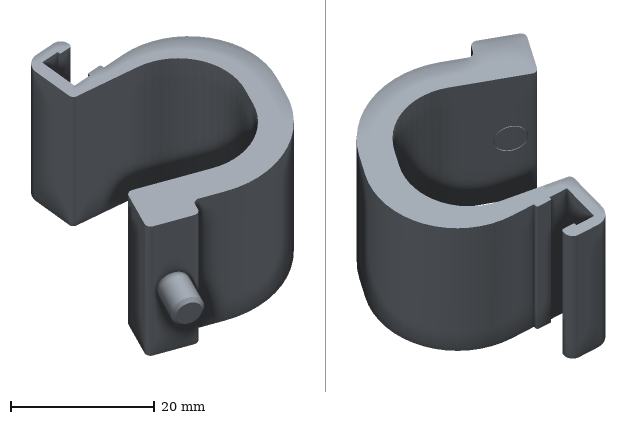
import cadquery as cq
import math

width = 25.0
bore_radius = 10.03
bore_flat = 3.0
wall = 5.0
outer_radius = bore_radius + wall

arm_radius = 13.2
arm_left = -13.85
arm_center = (arm_left + arm_radius, outer_radius - arm_radius)
inner_lean = math.radians(13.3)
hook_lean = math.radians(22.5)

hook_origin = (-9.5, -11.85)
channel_width = 6.5
hook_base = 1.95
hook_side = 1.7
lip_step = 0.5
lip_start = 3.0
bump_top = 5.5
tip_end = 5.3
hook_outer_fillet = 2.5
hook_heel_fillet = 0.8
tip_outer_fillet = 1.5
tip_inner_fillet = 0.4
lip_fillet = 0.2
bump_fillet = 0.35

foot_right = 20.9
foot_top = -4.9
foot_bottom = -12.95
foot_fillet = 0.9
pin_diameter = 5.0
pin_end = 26.95
pin_y = -9.0
pin_chamfer = 0.55
groove_depth = 0.2
groove_width = 0.15

leg_inner = bore_flat + bore_radius
leg_outer = bore_flat + outer_radius


def on_circle(center, radius, angle):
    return (center[0] + radius * math.cos(angle), center[1] + radius * math.sin(angle))


def hook_point(depth, across):
    """Point in the hook frame: depth runs down the arm, across runs to the free lip."""
    s = math.sin(hook_lean)
    c = math.cos(hook_lean)
    return (hook_origin[0] + depth * s - across * c, hook_origin[1] - depth * c - across * s)


def hook_across(point):
    """Across coordinate of a point in the hook frame."""
    dx = point[0] - hook_origin[0]
    dy = point[1] - hook_origin[1]
    return -dx * math.cos(hook_lean) - dy * math.sin(hook_lean)


def heel_point():
    """Where the leaning inner face meets the underside of the hook."""
    start = on_circle((0, 0), bore_radius, math.pi + inner_lean)
    base = hook_point(hook_base, 0)
    dx = base[0] - start[0]
    dy = base[1] - start[1]
    along = (dx * math.sin(hook_lean) - dy * math.cos(hook_lean)) / math.cos(inner_lean - hook_lean)
    return (start[0] + along * math.sin(inner_lean), start[1] - along * math.cos(inner_lean))


arm_end = on_circle(arm_center, arm_radius, math.pi + hook_lean)
arm_mid = on_circle(arm_center, arm_radius, (1.5 * math.pi + hook_lean) / 2)
bore_left_end = on_circle((0, 0), bore_radius, math.pi + inner_lean)
bore_left_mid = on_circle((0, 0), bore_radius, (1.5 * math.pi + inner_lean) / 2)
bore_right_mid = on_circle((bore_flat, 0), bore_radius, math.pi / 4)
outer_right_mid = on_circle((bore_flat, 0), outer_radius, math.pi / 4)

lip_inner = channel_width - lip_step
hook_outer = channel_width + hook_side
heel = heel_point()
hook_corner = hook_point(hook_base, hook_outer)
tip_outer = hook_point(-tip_end, hook_outer)
tip_inner = hook_point(-tip_end, lip_inner)
bump_upper = hook_point(-bump_top, lip_step)
bump_lower = hook_point(-lip_start, lip_step)
lip_corner = hook_point(-lip_start, lip_inner)
foot_corners = [
    (leg_inner, foot_bottom),
    (foot_right, foot_bottom),
    (foot_right, foot_top),
    (leg_outer, foot_top),
]

body = (
    cq.Workplane("XY")
    .moveTo(arm_center[0], outer_radius)
    .threePointArc(arm_mid, arm_end)
    .lineTo(*hook_point(-bump_top, hook_across(arm_end)))
    .lineTo(*bump_upper)
    .lineTo(*bump_lower)
    .lineTo(*hook_point(-lip_start, 0))
    .lineTo(*hook_origin)
    .lineTo(*hook_point(0, channel_width))
    .lineTo(*hook_point(-lip_start, channel_width))
    .lineTo(*lip_corner)
    .lineTo(*tip_inner)
    .lineTo(*tip_outer)
    .lineTo(*hook_corner)
    .lineTo(*heel)
    .lineTo(*bore_left_end)
    .threePointArc(bore_left_mid, (0, bore_radius))
    .lineTo(bore_flat, bore_radius)
    .threePointArc(bore_right_mid, (leg_inner, 0))
    .lineTo(*foot_corners[0])
    .lineTo(*foot_corners[1])
    .lineTo(*foot_corners[2])
    .lineTo(*foot_corners[3])
    .lineTo(leg_outer, 0)
    .threePointArc(outer_right_mid, (bore_flat, outer_radius))
    .close()
    .extrude(width)
)


def round_corners(solid, corners, radius):
    """Round the full-height edges that stand on the given outline corners."""
    for x, y in corners:
        edge = cq.selectors.NearestToPointSelector((x, y, width / 2))
        solid = solid.edges("|Z").edges(edge).fillet(radius)
    return solid


body = round_corners(body, foot_corners, foot_fillet)
body = round_corners(body, [hook_corner], hook_outer_fillet)
body = round_corners(body, [heel], hook_heel_fillet)
body = round_corners(body, [tip_outer], tip_outer_fillet)
body = round_corners(body, [tip_inner], tip_inner_fillet)
body = round_corners(body, [bump_upper], bump_fillet)
body = round_corners(body, [bump_lower, lip_corner], lip_fillet)

pin_plane = cq.Plane(origin=(leg_inner, pin_y, width / 2), xDir=(0, 1, 0), normal=(1, 0, 0))
pin = (
    cq.Workplane(pin_plane)
    .circle(pin_diameter / 2)
    .extrude(pin_end - leg_inner)
    .faces(">X")
    .chamfer(pin_chamfer)
)
groove = (
    cq.Workplane(pin_plane)
    .circle(pin_diameter / 2)
    .circle(pin_diameter / 2 - groove_width)
    .extrude(groove_depth)
)

result = body.union(pin).cut(groove)